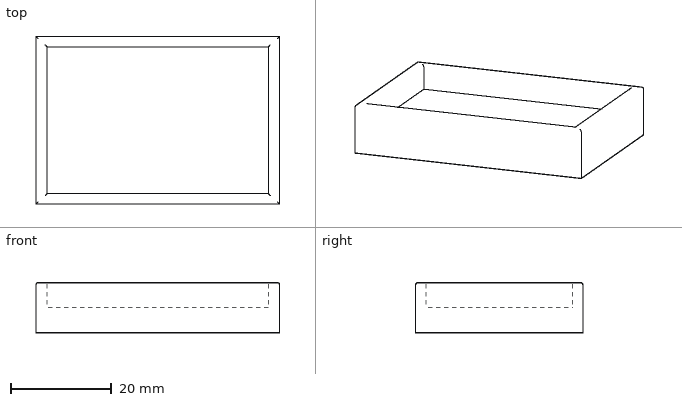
import cadquery as cq

length = 48.4
width = 33.26
height = 10.0

cavity_length = 43.9
cavity_width = 29.1
floor_thickness = 5.0
rim_radius = 0.5

cavity_depth = height - floor_thickness


def make_tray():
    """Rectangular block resting on Z = 0 with an open cavity in its top."""
    block = cq.Workplane("XY").box(length, width, height, centered=(True, True, False))
    cavity = (
        cq.Workplane("XY")
        .workplane(offset=floor_thickness)
        .rect(cavity_length, cavity_width)
        .extrude(cavity_depth)
    )
    return block.cut(cavity)


def round_rim(tray):
    """Round the outer and inner edges of the top rim."""
    return tray.faces(">Z").edges().fillet(rim_radius)


result = round_rim(make_tray())